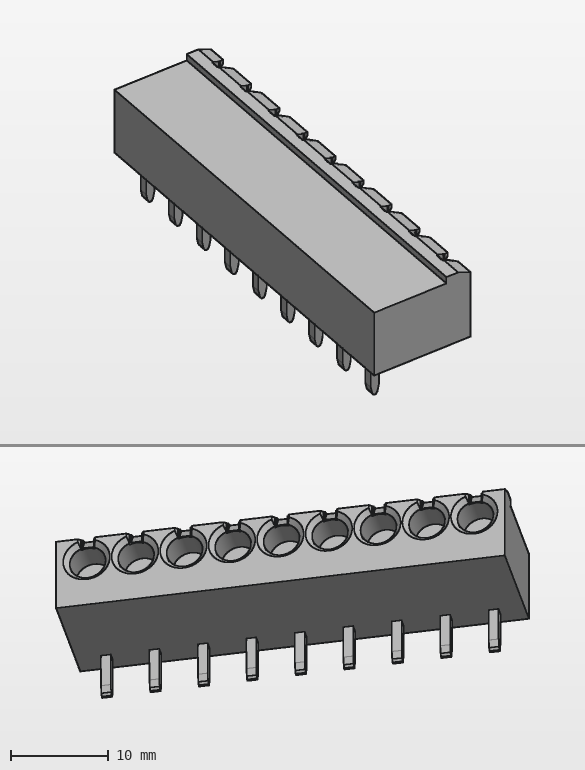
import cadquery as cq
import math

length = 47.0
depth = 12.0
ledge_height = 8.0
ridge_height = 8.8
ridge_width = 3.0
bevel_run = 1.55
bevel_drop = 0.6

positions = 9
pitch = 5.1

pin_width = 1.05
pin_length = 4.8
pin_from_front = 1.95
pin_straight_length = 3.65
pin_tip_length = 0.3
pin_taper_half = 0.35
pin_end_half = 0.15

socket_depth = 3.75
socket_radius = 1.9
mouth_radius = 2.45
mouth_depth = 0.55
socket_height = 5.55

notch_width = 1.4
notch_back_width = 1.85
notch_depth = 0.8
flare_length = 0.5
ramp_width = 1.15
ramp_length = 0.85
ramp_angle = 56.0

row_x = [(i - (positions - 1) / 2) * pitch for i in range(positions)]
ramp_drop = ramp_length * math.tan(math.radians(ramp_angle))


def extrude_along_x(points, width):
    """Solid with a YZ outline, centred on X = 0."""
    return cq.Workplane("YZ").polyline(points).close().extrude(width / 2, both=True)


def make_housing():
    """Block with a raised, bevelled ridge along its back edge."""
    ridge_front = depth - ridge_width
    outline = [
        (0, 0),
        (depth, 0),
        (depth, ridge_height - bevel_drop),
        (depth - bevel_run, ridge_height),
        (ridge_front, ridge_height),
        (ridge_front, ledge_height),
        (0, ledge_height),
    ]
    return extrude_along_x(outline, length)


def make_pin():
    """Square pin with a two-stage taper on its front and back faces."""
    half = pin_width / 2
    tip_start = pin_length - pin_tip_length
    outline = [
        (pin_from_front - half, 0),
        (pin_from_front - half, -pin_straight_length),
        (pin_from_front - pin_taper_half, -tip_start),
        (pin_from_front - pin_end_half, -pin_length),
        (pin_from_front + pin_end_half, -pin_length),
        (pin_from_front + pin_taper_half, -tip_start),
        (pin_from_front + half, -pin_straight_length),
        (pin_from_front + half, 0),
    ]
    return extrude_along_x(outline, pin_width)


def make_socket():
    """Cutter: blind round hole entering from the back face through a cone."""
    profile = [
        (0, depth),
        (mouth_radius, depth),
        (socket_radius, depth - mouth_depth),
        (socket_radius, depth - socket_depth),
        (0, depth - socket_depth),
    ]
    socket = cq.Workplane("XY").polyline(profile).close().revolve(360, (0, 0), (0, 1))
    return socket.translate((0, 0, socket_height))


def make_notch():
    """Cutter: slot flared towards the back face, open down to the socket, ending in a ramp."""
    half = notch_width / 2
    back_half = notch_back_width / 2
    ramp_y = depth - notch_depth
    flare_y = depth - flare_length
    outline = [
        (-half, ramp_y),
        (half, ramp_y),
        (half, flare_y),
        (back_half, depth),
        (-back_half, depth),
        (-half, flare_y),
    ]
    slot = (
        cq.Workplane("XY", origin=(0, 0, socket_height))
        .polyline(outline)
        .close()
        .extrude(ridge_height - socket_height)
    )
    ramp_bottom = ridge_height - ramp_drop
    ramp = extrude_along_x(
        [(ramp_y, ramp_bottom), (ramp_y, ridge_height), (ramp_y - ramp_length, ridge_height)],
        ramp_width,
    )
    return slot.union(ramp)


result = make_housing()
pin = make_pin()
opening = make_socket().union(make_notch())
for x in row_x:
    result = result.union(pin.translate((x, 0, 0))).cut(opening.translate((x, 0, 0)))